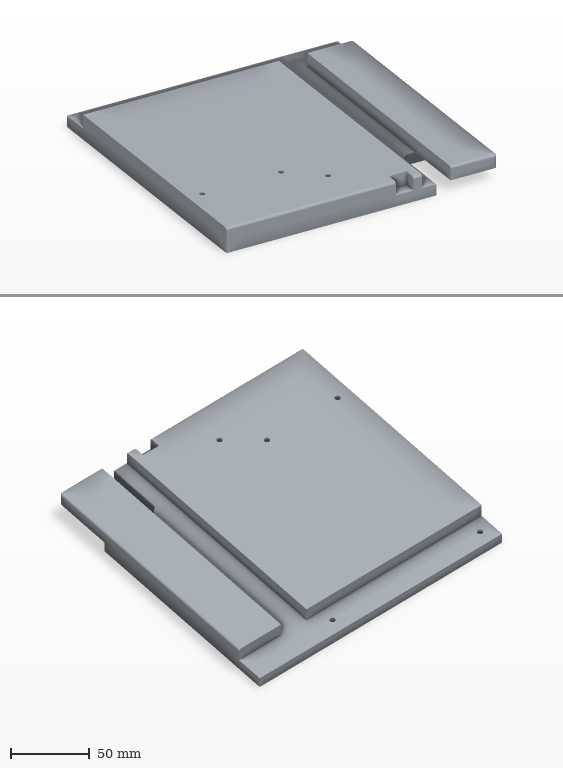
import cadquery as cq

LENGTH_X = 200.0
LENGTH_Y = 200.0
HEIGHT = 18.0
BASE_THICKNESS = 8.0
RAISED_HEIGHT = HEIGHT - BASE_THICKNESS

LEDGE_WIDTH = 20.5
BAR_WIDTH = 34.5
CHANNEL_WIDTH = 21.0
RAISED_LENGTH = LENGTH_X - LEDGE_WIDTH
BAR_START_Y = LENGTH_Y - BAR_WIDTH
BLOCK_WIDTH = BAR_START_Y - CHANNEL_WIDTH

NOTCH_SIZE = 45.0
NOTCH_INNER_CHAMFER = 4.5

POCKET_LENGTH = 8.5
POCKET_WIDTH = 13.0
POCKET_START_Y = 125.0

EDGE_RADIUS = 2.0

HOLE_DIAMETER = 4.0
HOLE_DEPTH = 6.0
LEDGE_HOLE_X = LEDGE_WIDTH / 2
LEDGE_HOLES = [(LEDGE_HOLE_X, 9.8), (LEDGE_HOLE_X, 131.5)]
BLOCK_HOLE_ROW_X = 151.6
BLOCK_HOLES = [(BLOCK_HOLE_ROW_X, 10.6), (BLOCK_HOLE_ROW_X, 68.8), (170.9, 92.1)]


def box_at(x, y, z, length, width, height):
    """Box with its lowest corner at (x, y, z)."""
    return cq.Workplane("XY").box(length, width, height, centered=False).translate((x, y, z))


def make_base():
    """Plate with the corner notch, whose inner corner is chamfered."""
    notch_x = LENGTH_X - NOTCH_SIZE
    notch_y = LENGTH_Y - NOTCH_SIZE
    return (
        cq.Workplane("XY")
        .lineTo(LENGTH_X, 0)
        .lineTo(LENGTH_X, notch_y)
        .lineTo(notch_x + NOTCH_INNER_CHAMFER, notch_y)
        .lineTo(notch_x, notch_y + NOTCH_INNER_CHAMFER)
        .lineTo(notch_x, LENGTH_Y)
        .lineTo(0, LENGTH_Y)
        .close()
        .extrude(BASE_THICKNESS)
    )


def make_bar():
    """Raised bar, rounded along its far and right top edges and their shared corner."""
    bar = box_at(LEDGE_WIDTH, BAR_START_Y, BASE_THICKNESS, RAISED_LENGTH, BAR_WIDTH, RAISED_HEIGHT)
    rounded_edges = bar.edges("(|Z and >X and >Y) or (>Z and >X) or (>Z and >Y)")
    return rounded_edges.fillet(EDGE_RADIUS)


def make_block():
    """Raised block, rounded along its right top edge, with the edge pocket."""
    block = box_at(LEDGE_WIDTH, 0, BASE_THICKNESS, RAISED_LENGTH, BLOCK_WIDTH, RAISED_HEIGHT)
    block = block.edges(">Z and >X").fillet(EDGE_RADIUS)
    pocket = box_at(
        LENGTH_X - POCKET_LENGTH, POCKET_START_Y, BASE_THICKNESS,
        POCKET_LENGTH, POCKET_WIDTH, RAISED_HEIGHT,
    )
    return block.cut(pocket)


def blind_holes(centres, top_z):
    """Cylinders that cut blind holes downward from the height top_z."""
    return (
        cq.Workplane("XY", origin=(0, 0, top_z))
        .pushPoints(centres)
        .circle(HOLE_DIAMETER / 2)
        .extrude(-HOLE_DEPTH)
    )


result = make_base().union(make_bar()).union(make_block())
result = result.cut(blind_holes(LEDGE_HOLES, BASE_THICKNESS))
result = result.cut(blind_holes(BLOCK_HOLES, HEIGHT))